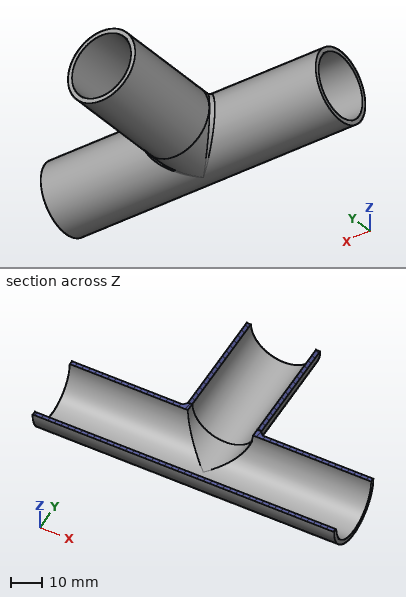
import cadquery as cq
import math

RUN_LENGTH = 110.0
OUTER_DIAMETER = 27.0
BORE_DIAMETER = 23.6
BRANCH_REACH = 54.95
NECK_REACH = 15.0
WELD_LEG = 1.2

OUTER_RADIUS = OUTER_DIAMETER / 2
WELD_REACH = OUTER_RADIUS + WELD_LEG


def run_cylinder(diameter):
    """Cylinder along X, centered on the origin."""
    return cq.Workplane("YZ").circle(diameter / 2).extrude(RUN_LENGTH / 2, both=True)


def branch_cylinder(diameter, start, end):
    """Cylinder along +Y between two distances from the run axis."""
    return cq.Workplane("XZ", origin=(0, start, 0)).circle(diameter / 2).extrude(start - end)


def corner_weld():
    """Sloped weld bead in the +X corner of the two equal pipes, narrowing to nothing at the crown."""
    half_length = (OUTER_RADIUS + WELD_REACH) / math.sqrt(2)
    side_plane = cq.Plane(
        origin=(-OUTER_RADIUS, OUTER_RADIUS, 0), xDir=(1, 1, 0), normal=(1, -1, 0)
    )
    slab = cq.Workplane(side_plane).ellipse(half_length, OUTER_RADIUS).extrude(
        2 * OUTER_RADIUS * math.sqrt(2)
    )

    wedge = (
        cq.Workplane("XY")
        .polyline([
            (0, 0),
            (2 * WELD_REACH, 2 * OUTER_RADIUS),
            (2 * OUTER_RADIUS, 2 * WELD_REACH),
        ])
        .close()
        .extrude(OUTER_DIAMETER, both=True)
    )
    return slab.intersect(wedge)


def make_tee():
    """Run pipe with a short neck welded on for the branch."""
    weld = corner_weld()
    return (
        run_cylinder(OUTER_DIAMETER)
        .union(branch_cylinder(OUTER_DIAMETER, 0, NECK_REACH))
        .union(weld)
        .union(weld.mirror("YZ"))
        .cut(run_cylinder(BORE_DIAMETER))
        .cut(branch_cylinder(BORE_DIAMETER, 0, NECK_REACH))
    )


def make_branch_pipe():
    """Straight pipe that meets the end of the neck."""
    outside = branch_cylinder(OUTER_DIAMETER, NECK_REACH, BRANCH_REACH)
    return outside.cut(branch_cylinder(BORE_DIAMETER, NECK_REACH, BRANCH_REACH))


tee = make_tee()
branch_pipe = make_branch_pipe()
result = cq.Compound.makeCompound([*tee.vals(), *branch_pipe.vals()])